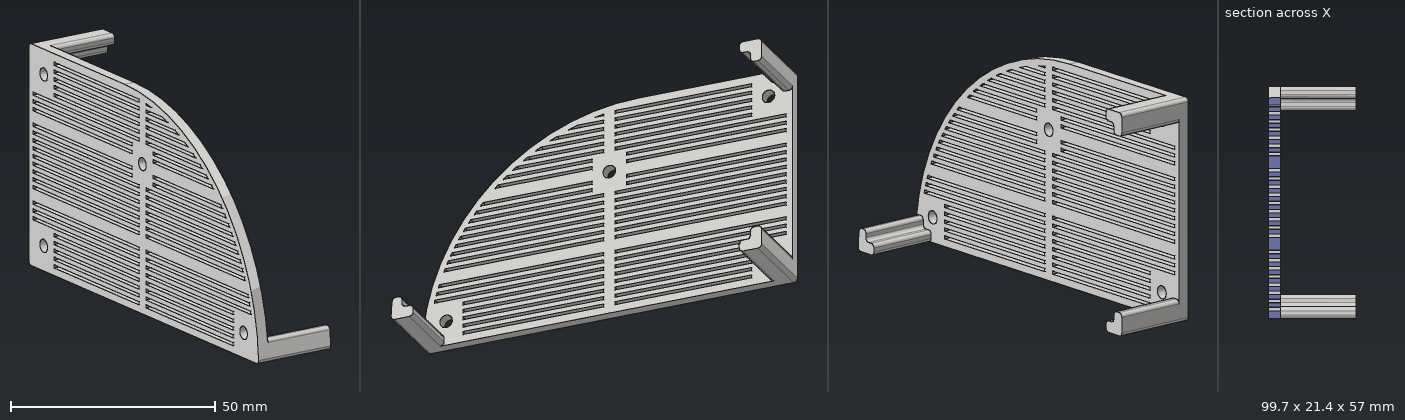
import cadquery as cq
import math

PLATE_HEIGHT = 57.0
PLATE_THICKNESS = 3.0
ARC_RADIUS = 58.2
ARC_CENTER_X = 41.5
ARC_CENTER_Z = PLATE_HEIGHT - ARC_RADIUS
CORNER_RADIUS = 1.0

TOTAL_DEPTH = 21.45
FOOT_SIZE = 6.0
FOOT_WALL = 3.0

HOLE_DIAMETER = 3.3
HOLE_INSET = 6.5
CENTER_HOLE_X = 49.3
CENTER_HOLE_Z = 38.5

SLOT_PITCH = 2.0
SLOT_HEIGHT = 0.8
SLOT_ROWS = 27
FIRST_SLOT_Z = 2.0
SLOT_MARGIN = 1.8
RIB_WIDTH = 3.0
CENTER_PAD_HALF_WIDTH = 4.6
CORNER_PAD_WIDTH = 11.0
CORNER_PAD_ROWS = 5
CENTER_PAD_ROWS = (16, 17, 19, 20)
SOLID_ROWS = (8, 18)


def arc_x(z):
    """X of the plate's arc at height z."""
    return ARC_CENTER_X + math.sqrt(ARC_RADIUS**2 - (z - ARC_CENTER_Z) ** 2)


SHARP_CORNER_X = arc_x(0)
PLATE_WIDTH = arc_x(CORNER_RADIUS)
HOLE_RIGHT_X = PLATE_WIDTH - HOLE_INSET
INNER_ARC_RADIUS = ARC_RADIUS - SLOT_MARGIN

FOOT_CORNERS = (
    (0, 0, 1, 1),
    (0, PLATE_HEIGHT, 1, -1),
    (SHARP_CORNER_X, 0, -1, 1),
)


def extrude_back(sketch, depth):
    """Extrude an XZ sketch from the front face (Y = 0) toward +Y."""
    return sketch.extrude(-depth)


def make_outline(depth):
    """Solid with the plate's outline, still with sharp corners, and the given depth."""
    diagonal = math.sqrt(0.5) * ARC_RADIUS
    sketch = (
        cq.Workplane("XZ")
        .lineTo(SHARP_CORNER_X, 0)
        .threePointArc(
            (ARC_CENTER_X + diagonal, ARC_CENTER_Z + diagonal),
            (ARC_CENTER_X, PLATE_HEIGHT),
        )
        .lineTo(0, PLATE_HEIGHT)
        .close()
    )
    return extrude_back(sketch, depth)


def make_plate():
    """Plate with its two left corners and its lower right corner rounded."""
    plate = make_outline(PLATE_THICKNESS)
    return plate.edges("|Y").edges("<X or >X").fillet(CORNER_RADIUS)


def make_foot(corner_x, corner_z, x_side, z_side):
    """L-shaped foot with its outer corner at the given point, trimmed to the plate's outline."""
    leg_points = [
        (0, 0),
        (FOOT_SIZE, 0),
        (FOOT_SIZE, FOOT_WALL),
        (FOOT_WALL, FOOT_WALL),
        (FOOT_WALL, FOOT_SIZE),
        (0, FOOT_SIZE),
    ]
    points = [(corner_x + x_side * dx, corner_z + z_side * dz) for dx, dz in leg_points]
    sketch = cq.Workplane("XZ").polyline(points).close()
    foot = extrude_back(sketch, TOTAL_DEPTH).intersect(make_outline(TOTAL_DEPTH))
    return foot.edges("|Y").fillet(CORNER_RADIUS)


def make_holes():
    """Screw holes: one beside each foot and one in the middle of the plate."""
    centers = [
        (HOLE_INSET, HOLE_INSET),
        (HOLE_INSET, PLATE_HEIGHT - HOLE_INSET),
        (HOLE_RIGHT_X, HOLE_INSET),
        (CENTER_HOLE_X, CENTER_HOLE_Z),
    ]
    sketch = cq.Workplane("XZ").pushPoints(centers).circle(HOLE_DIAMETER / 2)
    return extrude_back(sketch, PLATE_THICKNESS)


def add_slot(sketch, left, right, bottom):
    """Add one rectangular slot to the sketch."""
    center = ((left + right) / 2, bottom + SLOT_HEIGHT / 2)
    return sketch.pushPoints([center]).rect(right - left, SLOT_HEIGHT)


def make_slots():
    """All ventilation slots, ending on an arc that leaves a solid rim inside the plate's arc."""
    sketch = cq.Workplane("XZ")
    for row in range(SLOT_ROWS):
        if row in SOLID_ROWS:
            continue
        bottom = FIRST_SLOT_Z + row * SLOT_PITCH
        beside_lower_corners = row < CORNER_PAD_ROWS
        beside_upper_corner = row >= SLOT_ROWS - CORNER_PAD_ROWS
        left = CORNER_PAD_WIDTH if beside_lower_corners or beside_upper_corner else SLOT_MARGIN
        right = PLATE_WIDTH - CORNER_PAD_WIDTH if beside_lower_corners else PLATE_WIDTH
        half_rib = CENTER_PAD_HALF_WIDTH if row in CENTER_PAD_ROWS else RIB_WIDTH / 2
        sketch = add_slot(sketch, left, CENTER_HOLE_X - half_rib, bottom)
        sketch = add_slot(sketch, CENTER_HOLE_X + half_rib, right, bottom)
    slots = extrude_back(sketch, PLATE_THICKNESS)

    disk = cq.Workplane("XZ").center(ARC_CENTER_X, ARC_CENTER_Z).circle(INNER_ARC_RADIUS)
    left_part = cq.Workplane("XZ").rect(ARC_CENTER_X, PLATE_HEIGHT, centered=False)
    slot_area = extrude_back(disk, PLATE_THICKNESS).union(extrude_back(left_part, PLATE_THICKNESS))
    return slots.intersect(slot_area)


result = make_plate()
for foot_corner in FOOT_CORNERS:
    result = result.union(make_foot(*foot_corner))
result = result.cut(make_holes()).cut(make_slots())